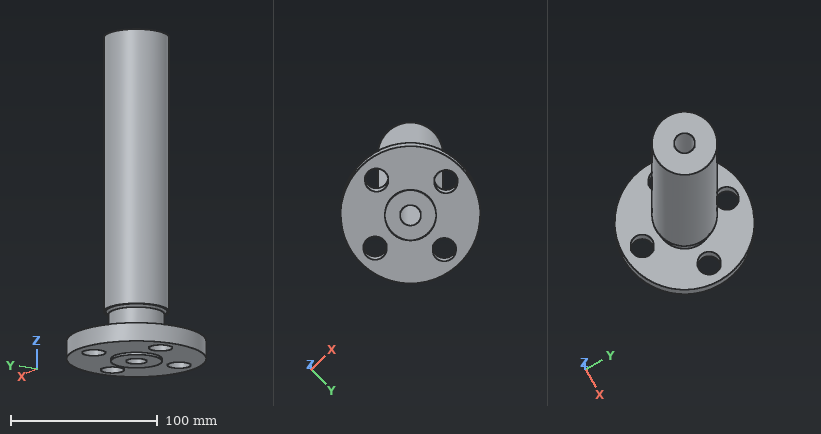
import cadquery as cq

total_height = 228.5
bore_diameter = 14.2

face_diameter = 35.0
face_height = 1.5

flange_diameter = 95.3
flange_thickness = 12.8
bolt_circle_diameter = 66.8
bolt_hole_diameter = 16.0
bolt_hole_count = 4

neck_diameter = 38.2
neck_length = 20.5
neck_foot_chamfer = 1.0
shoulder_chamfer = 1.8

barrel_diameter = 44.5

flange_top = face_height + flange_thickness
barrel_bottom = flange_top + neck_length
barrel_length = total_height - barrel_bottom


def cylinder(diameter, height, bottom):
    """Upright cylinder on the Z axis, starting at the given height."""
    return cq.Workplane("XY", origin=(0, 0, bottom)).circle(diameter / 2).extrude(height)


def make_flange():
    """Flange disc with a ring of through bolt holes."""
    disc = cylinder(flange_diameter, flange_thickness, face_height)
    bolt_holes = (
        cq.Workplane("XY", origin=(0, 0, face_height))
        .polarArray(bolt_circle_diameter / 2, 0, 360, bolt_hole_count)
        .circle(bolt_hole_diameter / 2)
        .extrude(flange_thickness)
    )
    return disc.cut(bolt_holes)


def make_neck():
    """Neck turned about Z: chamfered foot, and a cone flaring out to the barrel shoulder."""
    radius = neck_diameter / 2
    foot_radius = radius - neck_foot_chamfer
    shoulder_radius = radius + shoulder_chamfer
    chamfer_start = barrel_bottom - shoulder_chamfer
    return (
        cq.Workplane("XZ")
        .moveTo(0, flange_top)
        .lineTo(foot_radius, flange_top)
        .lineTo(radius, flange_top + neck_foot_chamfer)
        .lineTo(radius, chamfer_start)
        .lineTo(shoulder_radius, barrel_bottom)
        .lineTo(0, barrel_bottom)
        .close()
        .revolve(360, (0, 0), (0, 1))
    )


raised_face = cylinder(face_diameter, face_height, 0)
barrel = cylinder(barrel_diameter, barrel_length, barrel_bottom)
bore = cylinder(bore_diameter, total_height, 0)

result = raised_face.union(make_flange()).union(make_neck()).union(barrel).cut(bore)